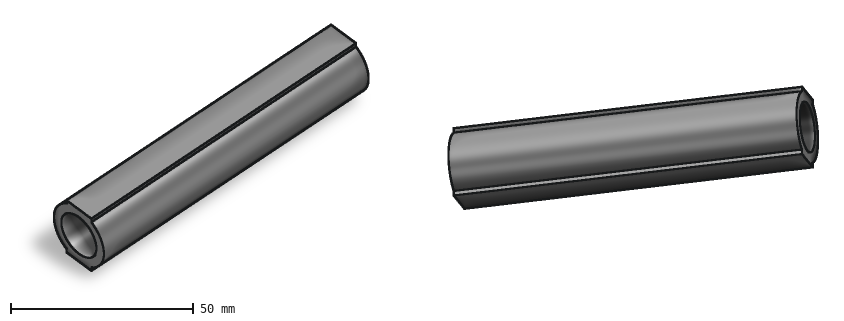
import cadquery as cq

length = 100.0
outer_diameter = 20.0
bore_diameter = 14.0
rail_width = 10.0
rail_height = outer_diameter

section = cq.Workplane("XZ")

body = section.circle(outer_diameter / 2).extrude(length / 2, both=True)

rails = section.rect(rail_width, rail_height).extrude(length / 2, both=True)

bore = section.circle(bore_diameter / 2).extrude(length / 2, both=True)

result = body.union(rails).cut(bore)